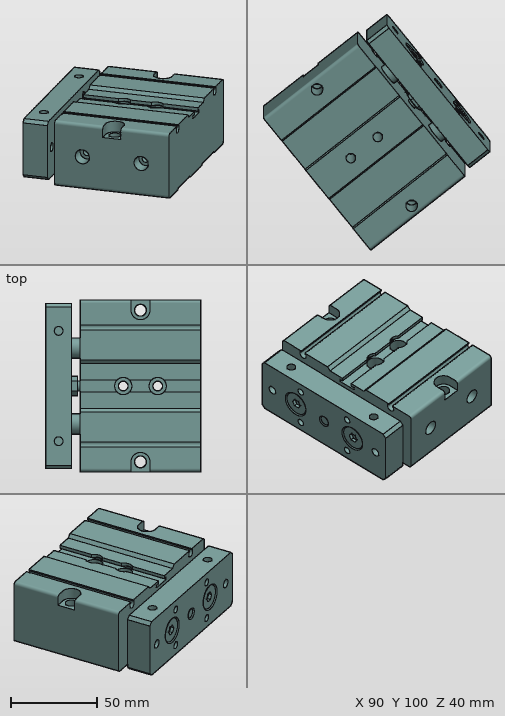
import cadquery as cq
import math

HOUSING_LENGTH = 70.0
HOUSING_WIDTH = 100.0
HOUSING_HEIGHT = 40.0
HOUSING_EDGE_RADIUS = 2.0

PLATE_THICKNESS = 15.0
PLATE_GAP = 5.0
PLATE_MARGIN = 2.0
PLATE_WIDTH = HOUSING_WIDTH - 2 * PLATE_MARGIN
PLATE_HEIGHT = HOUSING_HEIGHT - 2 * PLATE_MARGIN
PLATE_CHAMFER = 2.0
PLATE_BACK = -PLATE_GAP
PLATE_FRONT = PLATE_BACK - PLATE_THICKNESS

GUIDE_ROD_DIAMETER = 12.0
GUIDE_ROD_OFFSET = 22.0
PISTON_ROD_DIAMETER = 6.0
NUT_ACROSS_FLATS = 10.0
NUT_THICKNESS = 3.5

GUIDE_RECESS_DIAMETER = 16.0
PISTON_RECESS_DIAMETER = 7.0
RECESS_DEPTH = 0.7
SOCKET_ACROSS_FLATS = 5.0
SOCKET_DEPTH = 2.0

FACE_HOLE_DIAMETER = 4.2
FACE_HOLE_OFFSET_Y = 18.0
FACE_HOLE_OFFSET_Z = 12.0
OUTER_HOLE_DIAMETER = 5.1
OUTER_HOLE_OFFSET = 40.0
TOP_HOLE_DIAMETER = 5.1
TOP_HOLE_OFFSET = 32.0
TOP_HOLE_DEPTH = 10.0

TOP_RECESS_DEPTH = 2.0
TOP_RECESS_FLOOR_WIDTH = 26.0
TOP_RECESS_WIDTH = TOP_RECESS_FLOOR_WIDTH + 2 * TOP_RECESS_DEPTH

T_SLOT_NECK_WIDTH = 6.8
T_SLOT_NECK_DEPTH = 2.0
T_SLOT_HEAD_WIDTH = 11.0
T_SLOT_HEAD_DEPTH = 1.5

SENSOR_SLOT_OFFSET = 34.0
SENSOR_NECK_WIDTH = 2.8
SENSOR_LIP = 0.8
SENSOR_CAVITY_WIDTH = 4.5
SENSOR_SLOT_DEPTH = 4.6

RELIEF_DEPTH = 0.8
RELIEF_WIDTH = 22.0
RELIEF_OFFSET = 22.0

CENTER_HOLE_DIAMETER = 5.5
CENTER_BORE_DIAMETER = 10.0
CENTER_BORE_DEPTH = 13.0
CENTER_HOLES_X = (25.0, 45.0)

SIDE_HOLE_DIAMETER = 7.0
SIDE_HOLE_LOWER_DIAMETER = 6.7
SIDE_HOLE_STEP_DEPTH = HOUSING_HEIGHT / 2
SIDE_HOLE_X = HOUSING_LENGTH / 2
SIDE_HOLE_OFFSET = 44.0
SEAT_WIDTH = 11.0
SEAT_DEPTH = 6.6

PORTS_X = (17.0, 53.0)
PORT_MOUTH_DIAMETER = 8.6
PORT_END_DIAMETER = 8.0
PORT_DEPTH = 8.0
PORT_PASSAGE_DIAMETER = 4.0
PORT_PASSAGE_DEPTH = 12.0

HOUSING_TOP = HOUSING_HEIGHT / 2
HOUSING_SIDE = HOUSING_WIDTH / 2
X_AXIS = cq.Vector(1, 0, 0)
Y_AXIS = cq.Vector(0, 1, 0)
DOWN = cq.Vector(0, 0, -1)


def drill(diameter, depth, mouth, direction):
    return cq.Workplane(cq.Solid.makeCylinder(diameter / 2, depth, cq.Vector(*mouth), direction))


def hex_prism(across_flats, x_start, length, y):
    across_corners = across_flats / math.cos(math.pi / 6)
    return cq.Workplane("YZ", origin=(x_start, y, 0)).polygon(6, across_corners).extrude(length)


def top_recess():
    floor = HOUSING_TOP - TOP_RECESS_DEPTH
    half_floor = TOP_RECESS_FLOOR_WIDTH / 2
    half_top = TOP_RECESS_WIDTH / 2
    outline = [(-half_top, HOUSING_TOP), (-half_floor, floor), (half_floor, floor), (half_top, HOUSING_TOP)]
    return cq.Workplane("YZ").polyline(outline).close().extrude(HOUSING_LENGTH)


def t_slot():
    recess_floor = HOUSING_TOP - TOP_RECESS_DEPTH
    neck_bottom = recess_floor - T_SLOT_NECK_DEPTH
    neck = cq.Workplane("XY").box(
        HOUSING_LENGTH, T_SLOT_NECK_WIDTH, T_SLOT_NECK_DEPTH, centered=(False, True, False)
    ).translate((0, 0, neck_bottom))
    head = cq.Workplane("XY").box(
        HOUSING_LENGTH, T_SLOT_HEAD_WIDTH, T_SLOT_HEAD_DEPTH, centered=(False, True, False)
    ).translate((0, 0, neck_bottom - T_SLOT_HEAD_DEPTH))
    return neck.union(head)


def sensor_slot(y):
    half_neck = SENSOR_NECK_WIDTH / 2
    radius = SENSOR_CAVITY_WIDTH / 2
    lip_bottom = HOUSING_TOP - SENSOR_LIP
    slot_bottom = HOUSING_TOP - SENSOR_SLOT_DEPTH
    arc_start = slot_bottom + radius
    return (
        cq.Workplane("YZ", origin=(0, y, 0))
        .moveTo(-half_neck, HOUSING_TOP)
        .lineTo(-half_neck, lip_bottom)
        .lineTo(-radius, lip_bottom)
        .lineTo(-radius, arc_start)
        .threePointArc((0, slot_bottom), (radius, arc_start))
        .lineTo(radius, lip_bottom)
        .lineTo(half_neck, lip_bottom)
        .lineTo(half_neck, HOUSING_TOP)
        .close()
        .extrude(HOUSING_LENGTH)
    )


def bottom_relief(y):
    half_roof = (RELIEF_WIDTH - RELIEF_DEPTH) / 2
    half_mouth = (RELIEF_WIDTH + RELIEF_DEPTH) / 2
    roof = RELIEF_DEPTH - HOUSING_TOP
    outline = [(-half_mouth, -HOUSING_TOP), (-half_roof, roof), (half_roof, roof), (half_mouth, -HOUSING_TOP)]
    return cq.Workplane("YZ", origin=(0, y, 0)).polyline(outline).close().extrude(HOUSING_LENGTH)


def center_hole(x):
    hole = drill(CENTER_HOLE_DIAMETER, HOUSING_HEIGHT, (x, 0, HOUSING_TOP), DOWN)
    return hole.union(drill(CENTER_BORE_DIAMETER, CENTER_BORE_DEPTH, (x, 0, HOUSING_TOP), DOWN))


def side_hole(side):
    y = side * SIDE_HOLE_OFFSET
    mouth = (SIDE_HOLE_X, y, HOUSING_TOP)
    opening = cq.Workplane("XY").box(
        SEAT_WIDTH, HOUSING_SIDE - SIDE_HOLE_OFFSET, SEAT_DEPTH
    ).translate((SIDE_HOLE_X, side * (HOUSING_SIDE + SIDE_HOLE_OFFSET) / 2, HOUSING_TOP - SEAT_DEPTH / 2))
    seat = drill(SEAT_WIDTH, SEAT_DEPTH, mouth, DOWN).union(opening)
    upper_hole = drill(SIDE_HOLE_DIAMETER, SIDE_HOLE_STEP_DEPTH, mouth, DOWN)
    lower_hole = drill(SIDE_HOLE_LOWER_DIAMETER, HOUSING_HEIGHT, mouth, DOWN)
    return seat.union(upper_hole).union(lower_hole)


def air_port(x):
    mouth = (x, -HOUSING_SIDE, 0)
    taper = cq.Workplane(cq.Solid.makeCone(
        PORT_MOUTH_DIAMETER / 2, PORT_END_DIAMETER / 2, PORT_DEPTH, cq.Vector(*mouth), Y_AXIS
    ))
    return taper.union(drill(PORT_PASSAGE_DIAMETER, PORT_PASSAGE_DEPTH, mouth, Y_AXIS))


def make_housing():
    housing = (
        cq.Workplane("XY")
        .box(HOUSING_LENGTH, HOUSING_WIDTH, HOUSING_HEIGHT, centered=(False, True, True))
        .edges("|X")
        .fillet(HOUSING_EDGE_RADIUS)
        .cut(top_recess())
        .cut(t_slot())
    )
    for side in (-1, 1):
        housing = housing.cut(sensor_slot(side * SENSOR_SLOT_OFFSET))
        housing = housing.cut(bottom_relief(side * RELIEF_OFFSET))
        housing = housing.cut(side_hole(side))
    for x in CENTER_HOLES_X:
        housing = housing.cut(center_hole(x))
    for x in PORTS_X:
        housing = housing.cut(air_port(x))
    return housing


def face_recess(diameter, y):
    """Recess in the plate face whose 45 degree wall narrows to a flat floor."""
    return cq.Workplane(cq.Solid.makeCone(
        diameter / 2, diameter / 2 - RECESS_DEPTH, RECESS_DEPTH, cq.Vector(PLATE_FRONT, y, 0), X_AXIS
    ))


def make_plate():
    """Tooling plate in one piece with its rods, nut and screw heads."""
    plate = (
        cq.Workplane("XY", origin=(PLATE_FRONT, 0, 0))
        .box(PLATE_THICKNESS, PLATE_WIDTH, PLATE_HEIGHT, centered=(False, True, True))
        .edges("|X")
        .chamfer(PLATE_CHAMFER)
        .union(drill(PISTON_ROD_DIAMETER, PLATE_GAP, (PLATE_BACK, 0, 0), X_AXIS))
        .union(hex_prism(NUT_ACROSS_FLATS, PLATE_BACK, NUT_THICKNESS, 0))
        .cut(face_recess(PISTON_RECESS_DIAMETER, 0))
    )
    top_hole_x = (PLATE_FRONT + PLATE_BACK) / 2
    for side in (-1, 1):
        rod_y = side * GUIDE_ROD_OFFSET
        plate = plate.union(drill(GUIDE_ROD_DIAMETER, PLATE_GAP, (PLATE_BACK, rod_y, 0), X_AXIS))
        plate = plate.cut(face_recess(GUIDE_RECESS_DIAMETER, rod_y))
        plate = plate.cut(hex_prism(SOCKET_ACROSS_FLATS, PLATE_FRONT, RECESS_DEPTH + SOCKET_DEPTH, rod_y))

        outer_mouth = (PLATE_FRONT, side * OUTER_HOLE_OFFSET, 0)
        plate = plate.cut(drill(OUTER_HOLE_DIAMETER, PLATE_THICKNESS, outer_mouth, X_AXIS))
        top_mouth = (top_hole_x, side * TOP_HOLE_OFFSET, PLATE_HEIGHT / 2)
        plate = plate.cut(drill(TOP_HOLE_DIAMETER, TOP_HOLE_DEPTH, top_mouth, DOWN))
        for level in (-1, 1):
            mouth = (PLATE_FRONT, side * FACE_HOLE_OFFSET_Y, level * FACE_HOLE_OFFSET_Z)
            plate = plate.cut(drill(FACE_HOLE_DIAMETER, PLATE_THICKNESS, mouth, X_AXIS))
    return plate


housing = make_housing()
plate = make_plate()
result = cq.Compound.makeCompound([housing.val(), plate.val()])